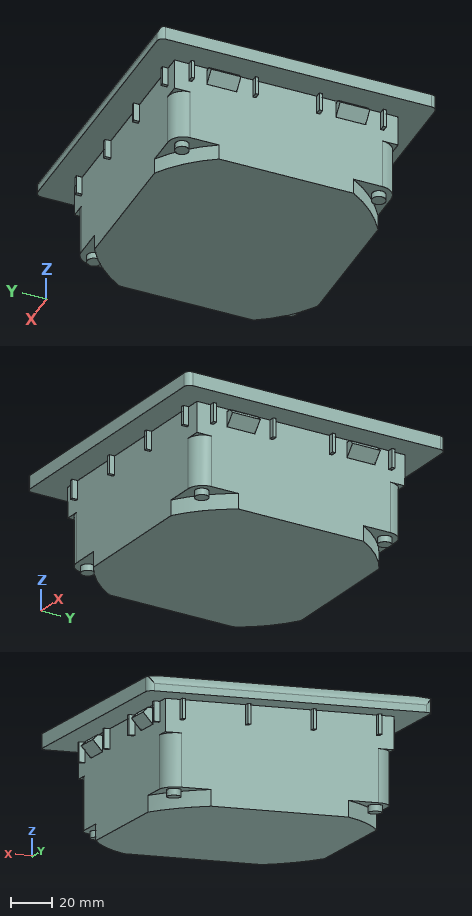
import cadquery as cq
import math

plate_side = 148.0
plate_half = plate_side / 2
total_height = 60.5
plate_bottom = 51.8
plate_corner_radius = 3.3
bevel_width = 9.0
bevel_drop = 1.3
back_edge_radius = 5.0

box_side = 119.0
box_half = box_side / 2
post_top = 35.2
post_radius = 8.3

foot_height = 8.3
foot_radius = 69.4

peg_offset = 52.4
peg_diameter = 7.1
peg_length = 3.4

rib_count = 4
rib_spacing = 34.0
rib_width = 1.6
rib_reach = 3.1
rib_bottom = 41.7

clip_length = 15.8
clip_offset = 34.3
clip_reach = 5.0
clip_top_reach = 2.5
clip_top = 50.6
clip_tip = 48.1
clip_bottom = 42.3


def make_plate():
    """Square plate beveled on three top edges and rounded on the +Y top edge."""
    bevel_start = total_height - bevel_drop
    blank = (
        cq.Workplane("XY", origin=(0, 0, plate_bottom))
        .rect(plate_side, plate_side)
        .extrude(total_height - plate_bottom)
        .edges("|Z")
        .fillet(plate_corner_radius)
    )
    x_section = (
        cq.Workplane("XZ")
        .moveTo(-plate_half, plate_bottom)
        .lineTo(plate_half, plate_bottom)
        .lineTo(plate_half, bevel_start)
        .lineTo(plate_half - bevel_width, total_height)
        .lineTo(bevel_width - plate_half, total_height)
        .lineTo(-plate_half, bevel_start)
        .close()
        .extrude(plate_half, both=True)
    )
    arc_center_y = plate_half - back_edge_radius
    arc_center_z = total_height - back_edge_radius
    arc_mid = back_edge_radius * math.sqrt(0.5)
    y_section = (
        cq.Workplane("YZ")
        .moveTo(-plate_half, plate_bottom)
        .lineTo(plate_half, plate_bottom)
        .lineTo(plate_half, arc_center_z)
        .threePointArc((arc_center_y + arc_mid, arc_center_z + arc_mid), (arc_center_y, total_height))
        .lineTo(bevel_width - plate_half, total_height)
        .lineTo(-plate_half, bevel_start)
        .close()
        .extrude(plate_half, both=True)
    )
    return blank.intersect(x_section).intersect(y_section)


def make_box():
    """Square upper box, round-cornered middle and a foot trimmed by a large circle."""
    upper = (
        cq.Workplane("XY", origin=(0, 0, post_top))
        .rect(box_side, box_side)
        .extrude(plate_bottom - post_top)
    )
    middle = (
        cq.Workplane("XY", origin=(0, 0, foot_height))
        .rect(box_side, box_side)
        .extrude(post_top - foot_height)
        .edges("|Z")
        .fillet(post_radius)
    )
    foot_disc = cq.Workplane("XY").circle(foot_radius).extrude(foot_height)
    foot = cq.Workplane("XY").rect(box_side, box_side).extrude(foot_height).intersect(foot_disc)
    return upper.union(middle).union(foot)


def make_pegs():
    """Short round pegs hanging from the ledge at the four corners."""
    return (
        cq.Workplane("XY", origin=(0, 0, foot_height))
        .rect(2 * peg_offset, 2 * peg_offset, forConstruction=True)
        .vertices()
        .circle(peg_diameter / 2)
        .extrude(-peg_length)
    )


def make_ribs():
    """Thin bars through the box whose ends stand out as ribs on all four sides."""
    bar_length = box_side + 2 * rib_reach
    base = cq.Workplane("XY", origin=(0, 0, rib_bottom))
    height = plate_bottom - rib_bottom
    along_x = base.rarray(1.5, rib_spacing, 1, rib_count).rect(bar_length, rib_width).extrude(height)
    along_y = base.rarray(rib_spacing, 1.5, rib_count, 1).rect(rib_width, bar_length).extrude(height)
    return along_x.union(along_y)


def make_clip(side, center_y):
    """Wedge clip on the X face given by side (+1 or -1)."""
    return (
        cq.Workplane("XZ", origin=(0, center_y, 0))
        .moveTo(side * box_half, clip_bottom)
        .lineTo(side * (box_half + clip_reach), clip_tip)
        .lineTo(side * (box_half + clip_top_reach), clip_top)
        .lineTo(side * box_half, clip_top)
        .close()
        .extrude(clip_length / 2, both=True)
    )


result = make_plate().union(make_box()).union(make_ribs()).union(make_pegs())
for side in (-1, 1):
    for center_y in (-clip_offset, clip_offset):
        result = result.union(make_clip(side, center_y))